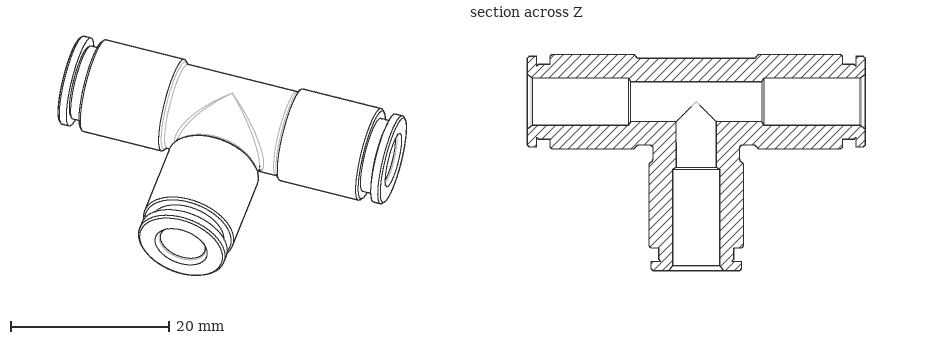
import cadquery as cq

arm_length = 21.4

tube_radius = 11.0 / 2
crotch_fillet = 0.43

sleeve_radius = 12.0 / 2
sleeve_outer_end = 2.85
sleeve_inner_end = 13.8
sleeve_chamfer = 0.25
root_fillet = 0.43

flange_radius = 11.5 / 2
flange_width = 1.2
flange_chamfer = 0.25
neck_radius = 9.55 / 2
neck_chamfer = 0.25

mouth_radius = 6.95 / 2
mouth_bevel_radius = 6.15 / 2
mouth_bevel_depth = 0.5
socket_radius = 5.95 / 2
inner_bevel_depth = 0.15
socket_depth = 12.85
socket_cone_length = 0.25
bore_radius = 5.0 / 2

arm_directions = [(-1, 0, 0), (1, 0, 0), (0, -1, 0)]


def revolve_along(profile, direction):
    """Revolve a profile of (radius, distance from the origin) points about the arm axis."""
    up = cq.Vector(0, 0, 1)
    plane = cq.Plane(origin=(0, 0, 0), xDir=up, normal=up.cross(cq.Vector(*direction)))
    return profile(cq.Workplane(plane)).close().revolve(360, (0, 0, 0), (0, 1, 0))


def tube(direction):
    """Central tube of one arm, reaching just inside its sleeve."""
    plane = cq.Plane(origin=(0, 0, 0), xDir=(0, 0, 1), normal=direction)
    length = arm_length - sleeve_inner_end + sleeve_chamfer
    return cq.Workplane(plane).circle(tube_radius).extrude(length)


def arm_profile(sketch):
    """Sleeve, neck and flange, from the root fillet out to the open end."""
    sleeve_inner = arm_length - sleeve_inner_end
    sleeve_outer = arm_length - sleeve_outer_end
    flange_inner = arm_length - flange_width
    shoulder_radius = sleeve_radius - sleeve_chamfer
    rise = shoulder_radius - tube_radius
    root_length = (root_fillet**2 - (root_fillet - rise) ** 2) ** 0.5
    root_start = sleeve_inner - root_length
    half_length = root_length / 2
    half_rise = root_fillet - (root_fillet**2 - half_length**2) ** 0.5
    return (
        sketch.moveTo(0, root_start)
        .lineTo(tube_radius, root_start)
        .threePointArc((tube_radius + half_rise, root_start + half_length), (shoulder_radius, sleeve_inner))
        .lineTo(sleeve_radius, sleeve_inner + sleeve_chamfer)
        .lineTo(sleeve_radius, sleeve_outer - sleeve_chamfer)
        .lineTo(sleeve_radius - sleeve_chamfer, sleeve_outer)
        .lineTo(neck_radius, sleeve_outer)
        .lineTo(neck_radius, flange_inner - neck_chamfer)
        .lineTo(neck_radius - neck_chamfer, flange_inner)
        .lineTo(flange_radius, flange_inner)
        .lineTo(flange_radius, arm_length - flange_chamfer)
        .lineTo(flange_radius - flange_chamfer, arm_length)
        .lineTo(0, arm_length)
    )


def bore_profile(sketch):
    mouth_bevel_end = arm_length - mouth_bevel_depth
    socket_end = arm_length - socket_depth
    return (
        sketch.lineTo(bore_radius, 0)
        .lineTo(bore_radius, socket_end - socket_cone_length)
        .lineTo(socket_radius, socket_end)
        .lineTo(socket_radius, mouth_bevel_end - inner_bevel_depth)
        .lineTo(mouth_bevel_radius, mouth_bevel_end)
        .lineTo(mouth_radius, arm_length)
        .lineTo(0, arm_length)
    )


def body_core():
    """Three tubes joined, with a fillet along the mitred seam between run and branch."""
    run_tube = tube(arm_directions[0]).union(tube(arm_directions[1]))
    core = run_tube.union(tube(arm_directions[2])).clean()
    return core.edges("%ELLIPSE").fillet(crotch_fillet)


result = body_core()
for direction in arm_directions:
    result = result.union(revolve_along(arm_profile, direction))

for direction in arm_directions:
    result = result.cut(revolve_along(bore_profile, direction))